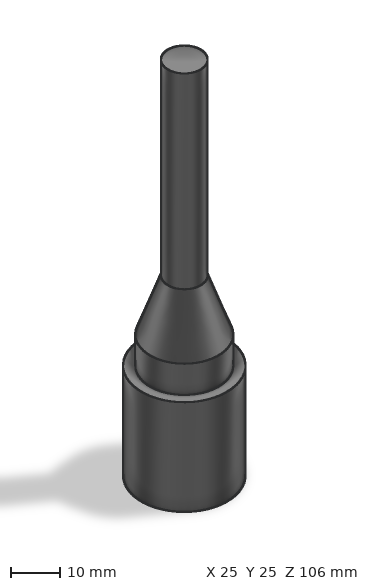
import cadquery as cq

total_height = 106.0

base_diameter = 25.0
collar_diameter = 20.0
shaft_diameter = 9.5

base_height = 28.0
collar_height = 8.0
taper_height = 15.0

collar_top = base_height + collar_height
taper_top = collar_top + taper_height

half_profile = (
    cq.Workplane("XZ")
    .moveTo(0, 0)
    .lineTo(base_diameter / 2, 0)
    .lineTo(base_diameter / 2, base_height)
    .lineTo(collar_diameter / 2, base_height)
    .lineTo(collar_diameter / 2, collar_top)
    .lineTo(shaft_diameter / 2, taper_top)
    .lineTo(shaft_diameter / 2, total_height)
    .lineTo(0, total_height)
    .close()
)

result = half_profile.revolve(360, (0, 0, 0), (0, 1, 0))